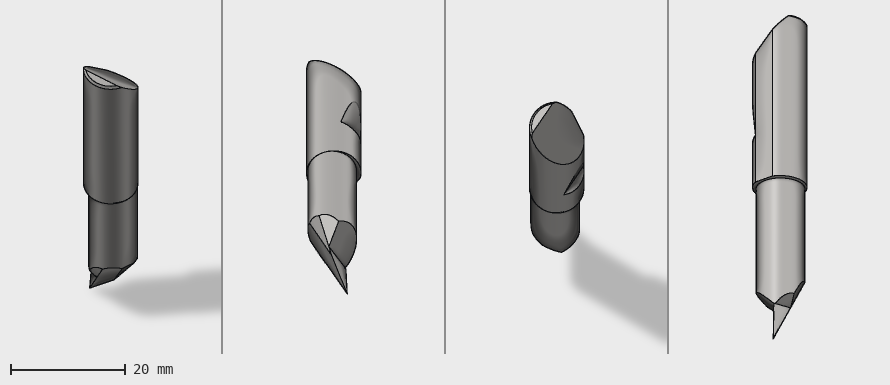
import cadquery as cq
import math

LENGTH = 63.15
SHANK_RADIUS = 4.77
SHANK_BOTTOM = 31.6
TOP_CHAMFER = 0.4
BEVEL_START_Y = -2.95

FLAT_CHORD_ANGLE = 47.0

NOTCH_TOP = 49.25
NOTCH_FLOOR_Y = 3.55
NOTCH_FLOOR_BOTTOM = 40.75
NOTCH_BOTTOM = 40.1

NECK_DIAMETER = 8.5
NECK_RADIUS = NECK_DIAMETER / 2
NECK_X = SHANK_RADIUS - NECK_RADIUS

BLADE_TOP = 7.2
TIP = cq.Vector(-4.4, 0, 0)
BLADE_SIDE = cq.Vector(-4.0, 0, BLADE_TOP)
BLADE_FRONT = cq.Vector(-1.4, -2.35, BLADE_TOP)
HEEL = cq.Vector(0.7, 0, 5.6)
HEEL_TOP = cq.Vector(SHANK_RADIUS, 0, 12.8)
HEEL_EDGE = cq.Vector(4.05, -2.4, 13.3)
SHELF_PEAK = cq.Vector(-2.2, -3.15, 9.3)

CUTTER_SIZE = 37.9


def prism_along_x(points):
    """Profile in Y and Z, extruded right across the part."""
    return cq.Workplane("YZ").polyline(points).close().extrude(2 * SHANK_RADIUS, both=True)


def space_beyond(a, b, c):
    """Block lying on the plane through a, b, c, on the side of (b - a) x (c - a)."""
    plane = cq.Plane(origin=a, xDir=b - a, normal=(b - a).cross(c - a))
    return cq.Workplane(plane).rect(CUTTER_SIZE, CUTTER_SIZE).extrude(CUTTER_SIZE)


def make_shank():
    shank = cq.Workplane("XY").workplane(offset=SHANK_BOTTOM).circle(SHANK_RADIUS)
    shank = shank.extrude(LENGTH - SHANK_BOTTOM).faces(">Z").chamfer(TOP_CHAMFER)

    bevel_run = 2 * SHANK_RADIUS
    bevel_end_y = BEVEL_START_Y + bevel_run
    bevel = prism_along_x([
        (BEVEL_START_Y, LENGTH),
        (bevel_end_y, LENGTH - bevel_run),
        (bevel_end_y, LENGTH),
    ])

    half_chord = FLAT_CHORD_ANGLE / 2
    flat_distance = SHANK_RADIUS * math.cos(math.radians(half_chord))
    flat = (
        cq.Workplane("XY")
        .box(SHANK_RADIUS, 2 * SHANK_RADIUS, LENGTH, centered=(False, True, False))
        .translate((flat_distance, 0, 0))
        .rotate((0, 0, 0), (0, 0, 1), 180 - half_chord)
    )

    notch = prism_along_x([
        (SHANK_RADIUS, NOTCH_TOP),
        (NOTCH_FLOOR_Y, NOTCH_FLOOR_BOTTOM),
        (SHANK_RADIUS, NOTCH_BOTTOM),
    ])
    return shank.cut(bevel).cut(flat).cut(notch)


def make_neck():
    neck = cq.Workplane("XY").center(NECK_X, 0).circle(NECK_RADIUS).extrude(SHANK_BOTTOM)
    back_relief = prism_along_x([
        (0, 0),
        (0, BLADE_TOP),
        (NECK_RADIUS * 2, BLADE_TOP + NECK_RADIUS * 2),
        (NECK_RADIUS * 2, 0),
    ])
    below_shelf = space_beyond(BLADE_SIDE, BLADE_FRONT, SHELF_PEAK)
    side_relief = space_beyond(TIP, BLADE_FRONT, BLADE_SIDE).intersect(below_shelf)
    front_relief = space_beyond(TIP, BLADE_FRONT, SHELF_PEAK)
    return neck.cut(back_relief).cut(side_relief).cut(front_relief)


def make_blade():
    """Block in front of Y = 0, trimmed to the side face."""
    block = cq.Workplane("XY").box(
        4 * SHANK_RADIUS, SHANK_RADIUS, BLADE_TOP, centered=(True, False, False)
    )
    block = block.translate((0, -SHANK_RADIUS, 0))
    return block.cut(space_beyond(TIP, BLADE_FRONT, BLADE_SIDE))


def cut_lower_faces(body):
    """Main clearance face below the blade, the heel face next to it, and the heel's square back."""
    clearance = space_beyond(TIP, HEEL, BLADE_FRONT)
    heel = space_beyond(HEEL, HEEL_TOP, HEEL_EDGE)
    heel_back = space_beyond(HEEL, HEEL_TOP, HEEL + cq.Vector(0, -0.6, 0))
    return body.cut(clearance).cut(heel).cut(heel_back)


cutting_end = cut_lower_faces(make_neck().union(make_blade()))
result = make_shank().union(cutting_end)